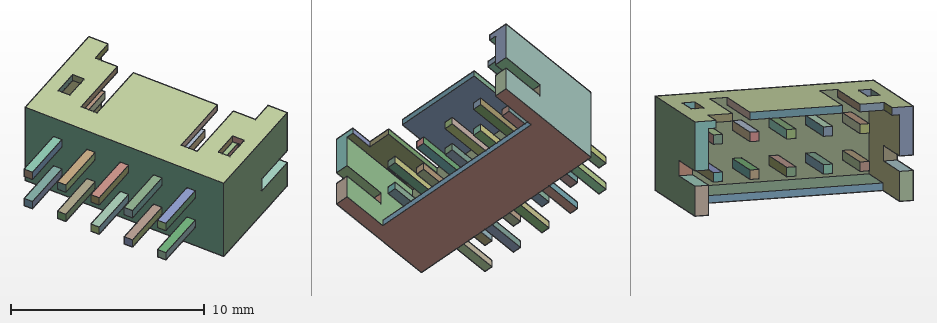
import cadquery as cq

WIDTH = 11.9
HEIGHT = 5.0
DEPTH = 6.5
END_WALL = 0.75
LONG_WALL = 0.4
CAVITY_DEPTH = 5.0
CAVITY_WIDTH = WIDTH - 2 * END_WALL
CAVITY_HEIGHT = HEIGHT - 2 * LONG_WALL

EAR_WIDTH = 1.15
SETBACK = 1.3
TOP_SLOT_OFFSET = 3.0
TOP_SLOT_WIDTH = 0.95
WINDOW_OFFSET = 4.8
WINDOW_WIDTH = 0.69
WINDOW_LENGTH = 1.48
WINDOW_DEPTH = 3.02

BOTTOM_NOTCH_DEPTH = 2.73
SIDE_SLOT_DEPTH = 2.61
SIDE_SLOT_BOTTOM = 1.6
SIDE_SLOT_HEIGHT = 0.81

PIN_SIZE = 0.5
PIN_PITCH = 2.0
PINS_PER_ROW = 5
PIN_ROWS = 2
PIN_TAIL = 3.0
PIN_TIP_DEPTH = 2.1
PIN_LENGTH = DEPTH - PIN_TIP_DEPTH + PIN_TAIL


def block(x_center, width, z_low, height, length, start=0.0):
    """Block running toward -Y, beginning `start` behind the mouth of the housing."""
    y_center = DEPTH - start - length / 2
    solid = cq.Workplane("XY").box(width, length, height, centered=(True, True, False))
    return solid.translate((x_center, y_center, z_low))


def top_wall_block(x_center, width, length, start=0.0):
    """Block as thick as the top wall and level with it."""
    return block(x_center, width, HEIGHT - LONG_WALL, LONG_WALL, length, start)


def make_shell():
    shell = block(0, WIDTH, 0, HEIGHT, DEPTH)
    return shell.cut(block(0, CAVITY_WIDTH, LONG_WALL, CAVITY_HEIGHT, CAVITY_DEPTH))


def cut_top_wall(body):
    body = body.cut(top_wall_block(0, WIDTH - 2 * EAR_WIDTH, SETBACK))
    for side in (-1, 1):
        slot = top_wall_block(side * TOP_SLOT_OFFSET, TOP_SLOT_WIDTH, CAVITY_DEPTH)
        window = top_wall_block(side * WINDOW_OFFSET, WINDOW_WIDTH, WINDOW_LENGTH, WINDOW_DEPTH)
        body = body.cut(slot).cut(window)
    return body


def cut_bottom_notch(body):
    return body.cut(block(0, CAVITY_WIDTH, 0, LONG_WALL, BOTTOM_NOTCH_DEPTH))


def cut_side_slots(body):
    return body.cut(block(0, WIDTH, SIDE_SLOT_BOTTOM, SIDE_SLOT_HEIGHT, SIDE_SLOT_DEPTH))


def centered_positions(count):
    """Pin positions at the pitch, symmetric about zero."""
    return [(index - (count - 1) / 2) * PIN_PITCH for index in range(count)]


def add_pins(body):
    for row_offset in centered_positions(PIN_ROWS):
        z_low = HEIGHT / 2 + row_offset - PIN_SIZE / 2
        for x_center in centered_positions(PINS_PER_ROW):
            body = body.union(block(x_center, PIN_SIZE, z_low, PIN_SIZE, PIN_LENGTH, PIN_TIP_DEPTH))
    return body


housing = cut_side_slots(cut_bottom_notch(cut_top_wall(make_shell())))
result = add_pins(housing)